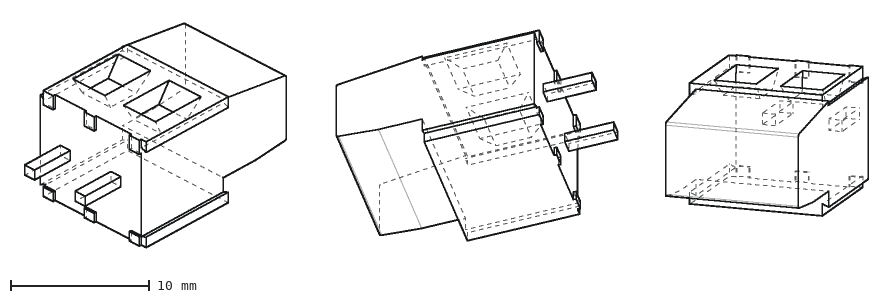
import cadquery as cq

pitch = 5.08
poles = 2
body_width = poles * pitch
body_height = 9.0
body_length = 8.5
tail_end = 15.0

tail_back_top = 7.7
tail_joint_top = 8.6
tail_back_bottom = 2.2
tail_flat_bottom = 1.9
tail_flat_start = 11.8
tail_edge_radius = 0.2

joint_depth = 0.5
joint_root = 0.9
joint_mouth = 0.7

foot_width = 1.0
foot_thickness = 0.2
upper_foot_height = 1.2
lower_foot_height = 0.8
middle_foot_left = 4.62
foot_lefts = (joint_depth, middle_foot_left, body_width - foot_width)

pin_width = 1.0
pin_height = 0.85
pin_length = 3.7
pin_center_z = body_height / 2

entry_left = 0.96
entry_width = 3.2
entry_front = 2.42
entry_length = 4.7
entry_depth = 1.4
entry_side_inset = 0.2
entry_front_inset = 0.74
entry_back_inset = 1.28


def block(x, y, z, width, length, height):
    """Box given by its lowest corner and its sizes."""
    return cq.Workplane("XY").box(width, length, height, centered=False).translate((x, y, z))


def make_body():
    """Body whose front outline carries the side grooves and tongues."""
    right = body_width + joint_depth
    outline = [
        (joint_depth, 0),
        (right, 0),
        (right, joint_root),
        (body_width, joint_mouth),
        (body_width, body_height - joint_mouth),
        (right, body_height - joint_root),
        (right, body_height),
        (joint_depth, body_height),
        (joint_depth, body_height - joint_root),
        (0, body_height - joint_mouth),
        (0, joint_mouth),
        (joint_depth, joint_root),
    ]
    return cq.Workplane("XZ").polyline(outline).close().extrude(-body_length)


def make_tail():
    """Tapered tail with its two back edges rounded."""
    outline = [
        (body_length, tail_flat_bottom),
        (tail_flat_start, tail_flat_bottom),
        (tail_end, tail_back_bottom),
        (tail_end, tail_back_top),
        (body_length, tail_joint_top),
    ]
    tail = cq.Workplane("YZ").polyline(outline).close().extrude(body_width)
    return tail.faces(">Y").edges("|X").fillet(tail_edge_radius)


def make_feet():
    """Upper and lower rows of feet."""
    feet = cq.Workplane("XY")
    rows = (
        (0, lower_foot_height),
        (body_height - upper_foot_height, upper_foot_height),
    )
    for bottom, height in rows:
        for left in foot_lefts:
            feet = feet.add(block(left, -foot_thickness, bottom, foot_width, foot_thickness, height))
    return feet.combine()


def make_pin(pole):
    """Pin centred on its pole."""
    left = (pole + 0.5) * pitch - pin_width / 2
    return block(left, -pin_length, pin_center_z - pin_height / 2, pin_width, pin_length, pin_height)


def make_wire_entry(pole):
    """Volume cut from the top face for one wire entry."""
    left = entry_left + pole * pitch
    floor_width = entry_width - 2 * entry_side_inset
    floor_length = entry_length - entry_front_inset - entry_back_inset
    floor_shift = (entry_front_inset - entry_back_inset) / 2
    return (
        cq.Workplane("XY")
        .workplane(offset=body_height)
        .center(left + entry_width / 2, entry_front + entry_length / 2)
        .rect(entry_width, entry_length)
        .workplane(offset=-entry_depth)
        .center(0, floor_shift)
        .rect(floor_width, floor_length)
        .loft(ruled=True)
    )


result = make_body().union(make_tail()).union(make_feet())
for pole_index in range(poles):
    result = result.union(make_pin(pole_index)).cut(make_wire_entry(pole_index))